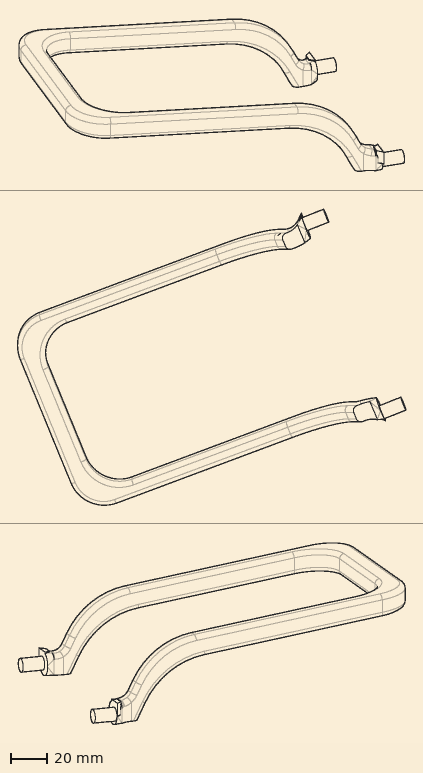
import cadquery as cq
import math


PIN_DIAMETER = 7.8
PIN_LENGTH = 12.7
PIN_X = 57.0

ARM_OUTER_X = 57.1
ARM_INNER_X = 47.5
HANDLE_LENGTH = 177.56
CROSSBAR_WIDTH = 12.9
OUTER_CORNER_RADIUS = 19.5
INNER_CORNER_RADIUS = 19.5
OUTER_SPLAY_START_Y = -10.0
OUTER_SPLAY = 2.1
INNER_SPLAY_START_Y = -9.0
INNER_SPLAY = 0.6
NECK_END_Y = -3.6

GRIP_SLOPE = math.tan(math.radians(6.65))
SHANK_SLOPE = math.tan(math.radians(63.0))
GRIP_TOP_Z = 34.75
GRIP_BOTTOM_Z = 22.0
SHANK_TOP_Z = -10.3
SHANK_BOTTOM_Z = -33.1
BEND_RADIUS = 44.5
NECK_TOP_Z = 6.9
NECK_BOTTOM_Z = -5.1
NECK_BEND_RADIUS = 7.0
EDGE_ROUND = 2.8
TRIM_DEPTH = 8.0

COLLAR_OUTER_X = 61.2
COLLAR_INNER_X = 48.4
COLLAR_TOP_Z = 6.9
COLLAR_BOTTOM_Z = -6.4
COLLAR_CORNER_RADIUS = 6.3
NECK_BOTTOM_CORNER_RADIUS = 0.3
LEDGE_OUTER_X = 62.27
LEDGE_INNER_X = 52.2
LEDGE_TOP_Z = 7.5
LEDGE_DEPTH = 3.1
LEDGE_INNER_SETBACK = 1.8


def line_crossing(slope_a, height_a, slope_b, height_b):
    """Point (y, z) where two lines z = height - slope * y cross."""
    y = (height_a - height_b) / (slope_a - slope_b)
    return (y, height_a - slope_a * y)


def make_side_profile():
    """Side outline of the handle, extruded across its whole width."""
    front_y = -HANDLE_LENGTH
    stock_bottom_z = NECK_BOTTOM_Z - TRIM_DEPTH
    top_bend = line_crossing(GRIP_SLOPE, GRIP_TOP_Z, SHANK_SLOPE, SHANK_TOP_Z)
    bottom_bend = line_crossing(GRIP_SLOPE, GRIP_BOTTOM_Z, SHANK_SLOPE, SHANK_BOTTOM_Z)
    neck_bend = line_crossing(SHANK_SLOPE, SHANK_TOP_Z, 0, NECK_TOP_Z)
    shank_foot = line_crossing(SHANK_SLOPE, SHANK_BOTTOM_Z, 0, stock_bottom_z)
    outline = [
        (0, NECK_TOP_Z),
        neck_bend,
        top_bend,
        (front_y, GRIP_TOP_Z - GRIP_SLOPE * front_y),
        (front_y, GRIP_BOTTOM_Z - GRIP_SLOPE * front_y),
        bottom_bend,
        shank_foot,
        (0, stock_bottom_z),
    ]
    profile = cq.Workplane("YZ").polyline(outline).close().extrude(COLLAR_OUTER_X, both=True)

    def round_bend(solid, point, radius):
        return solid.edges(cq.selectors.NearestToPointSelector((0, *point))).fillet(radius)

    profile = round_bend(profile, top_bend, BEND_RADIUS)
    profile = round_bend(profile, bottom_bend, BEND_RADIUS)
    return round_bend(profile, neck_bend, NECK_BEND_RADIUS)


def tangent_bow(x, start_y, sideways):
    """Middle and end of an arc leaving (x, start_y) along +Y and moving sideways by the neck end."""
    run = NECK_END_Y - start_y
    half_angle = math.atan2(sideways, run)
    radius = run / math.sin(2 * half_angle)
    middle = (x + radius * (1 - math.cos(half_angle)), start_y + radius * math.sin(half_angle))
    return middle, (x + sideways, NECK_END_Y)


def mirrored(point):
    return (-point[0], point[1])


def make_plan_profile():
    """The U outline seen from above, extruded through the full height."""
    front_y = -HANDLE_LENGTH
    inner_front_y = front_y + CROSSBAR_WIDTH
    outer_middle, outer_end = tangent_bow(ARM_OUTER_X, OUTER_SPLAY_START_Y, OUTER_SPLAY)
    inner_middle, inner_end = tangent_bow(ARM_INNER_X, INNER_SPLAY_START_Y, INNER_SPLAY)
    bottom_z = NECK_BOTTOM_Z - 2 * TRIM_DEPTH
    height = GRIP_TOP_Z + GRIP_SLOPE * HANDLE_LENGTH + TRIM_DEPTH - bottom_z
    plan = (
        cq.Workplane("XY", origin=(0, 0, bottom_z))
        .moveTo(*outer_end)
        .threePointArc(outer_middle, (ARM_OUTER_X, OUTER_SPLAY_START_Y))
        .lineTo(ARM_OUTER_X, front_y)
        .lineTo(-ARM_OUTER_X, front_y)
        .lineTo(-ARM_OUTER_X, OUTER_SPLAY_START_Y)
        .threePointArc(mirrored(outer_middle), mirrored(outer_end))
        .lineTo(*mirrored(inner_end))
        .threePointArc(mirrored(inner_middle), (-ARM_INNER_X, INNER_SPLAY_START_Y))
        .lineTo(-ARM_INNER_X, inner_front_y)
        .lineTo(ARM_INNER_X, inner_front_y)
        .lineTo(ARM_INNER_X, INNER_SPLAY_START_Y)
        .threePointArc(inner_middle, inner_end)
        .close()
        .extrude(height)
    )

    def round_corners(solid, x, y, radius):
        for side in (-1, 1):
            nearest = cq.selectors.NearestToPointSelector((side * x, y, bottom_z + height / 2))
            solid = solid.edges("|Z").edges(nearest).fillet(radius)
        return solid

    plan = round_corners(plan, ARM_OUTER_X, front_y, OUTER_CORNER_RADIUS)
    return round_corners(plan, ARM_INNER_X, inner_front_y, INNER_CORNER_RADIUS)


def section_at(y, inner_x, outer_x, bottom_z, top_z, bottom_radius, top_radius):
    """Wire of a rectangle square to Y, with one radius on its top corners and one on its bottom."""
    width = outer_x - inner_x
    height = top_z - bottom_z
    rounded = (
        cq.Sketch()
        .rect(width, height)
        .vertices(">Y")
        .fillet(top_radius)
        .reset()
        .vertices("<Y")
        .fillet(bottom_radius)
    )
    plane = cq.Plane(
        origin=((inner_x + outer_x) / 2, y, (bottom_z + top_z) / 2),
        xDir=(1, 0, 0),
        normal=(0, -1, 0),
    )
    return rounded._faces.Wires()[0].moved(cq.Location(plane))


def make_collar():
    """Collar of the +X arm: a neck flaring into a rounded end face, under a square-topped ledge."""
    end_face = section_at(
        0,
        COLLAR_INNER_X,
        COLLAR_OUTER_X,
        COLLAR_BOTTOM_Z,
        COLLAR_TOP_Z,
        COLLAR_CORNER_RADIUS,
        COLLAR_CORNER_RADIUS,
    )
    arm_end = section_at(
        NECK_END_Y,
        ARM_INNER_X + INNER_SPLAY,
        ARM_OUTER_X + OUTER_SPLAY,
        NECK_BOTTOM_Z,
        NECK_TOP_Z,
        NECK_BOTTOM_CORNER_RADIUS,
        EDGE_ROUND,
    )
    flare = cq.Workplane(cq.Solid.makeLoft([end_face, arm_end], True))
    ledge = (
        cq.Workplane("XY")
        .polyline([
            (LEDGE_INNER_X, 0),
            (LEDGE_OUTER_X, 0),
            (LEDGE_OUTER_X - LEDGE_DEPTH, -LEDGE_DEPTH),
            (LEDGE_INNER_X + LEDGE_INNER_SETBACK, -LEDGE_DEPTH),
        ])
        .close()
        .extrude(LEDGE_TOP_Z)
    )
    return flare.union(ledge)


def make_handle():
    """U-shaped bar with rounded long edges, a flat neck underside and a collar on each arm."""
    bar = make_plan_profile().intersect(make_side_profile())
    neck_and_stock_ends = bar.faces(">Y or <Z").edges().vals()
    rounded_edges = [
        edge
        for edge in bar.edges("not |Z").vals()
        if not any(edge.isSame(end) for end in neck_and_stock_ends)
    ]
    bar = bar.newObject(rounded_edges).fillet(EDGE_ROUND)
    trim = (
        cq.Workplane("XY", origin=(0, 0, NECK_BOTTOM_Z))
        .rect(2 * HANDLE_LENGTH, 2 * HANDLE_LENGTH)
        .extrude(-2 * TRIM_DEPTH)
    )
    collar = make_collar()
    return bar.cut(trim).union(collar).union(collar.mirror("YZ"))


def make_pin(side):
    """Plain round pin standing on the collar face, on the side where X has the given sign."""
    return (
        cq.Workplane("XZ")
        .center(side * PIN_X, 0)
        .circle(PIN_DIAMETER / 2)
        .extrude(-PIN_LENGTH)
    )


handle = make_handle()
pins = [make_pin(side) for side in (-1, 1)]
result = cq.Compound.makeCompound([handle.val(), *[pin.val() for pin in pins]])